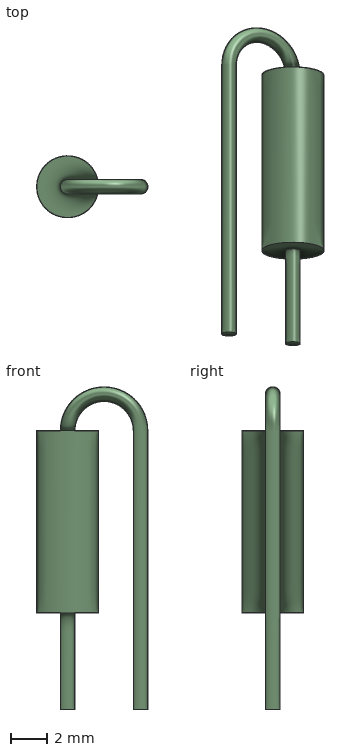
import cadquery as cq

body_diameter = 3.4
body_length = 10.0
lead_diameter = 0.8
lead_pitch = 4.0
lead_protrusion = 5.3

body_radius = body_diameter / 2
lead_radius = lead_diameter / 2
bend_radius = lead_pitch / 2
lead_bottom = -lead_protrusion
body_top = body_length


def make_body():
    """Cylinder on the Z axis, with its lower face at Z = 0."""
    return cq.Workplane("XY").circle(body_radius).extrude(body_length)


def make_lead():
    """One round wire: up through the body, over a half-circle bend and down again."""
    path = (
        cq.Workplane("XZ")
        .moveTo(0, lead_bottom)
        .lineTo(0, body_top)
        .threePointArc((bend_radius, body_top + bend_radius), (lead_pitch, body_top))
        .lineTo(lead_pitch, lead_bottom)
    )
    return cq.Workplane("XY", origin=(0, 0, lead_bottom)).circle(lead_radius).sweep(path)


result = make_body().union(make_lead())